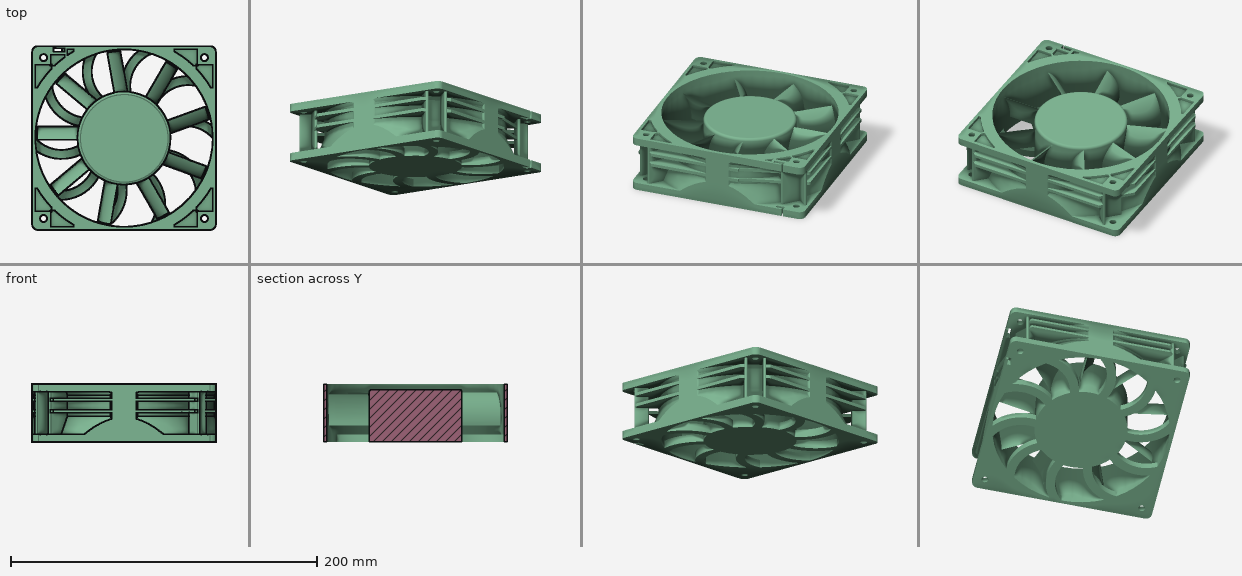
import cadquery as cq
import math

side = 120.2
height = 38.0
half_side = side / 2
corner_radius = 4.0
flange_thickness = 5.0
upper_flange_bottom = height - flange_thickness

bore_radius = 58.0
duct_radius = 59.8
skirt_radius = 65.5
skirt_top = 17.1
collar_radius = 61.0
collar_bottom = 30.7
pillar_width = 15.9

screw_offset = 52.5
screw_diameter = 4.5

rib_thickness = 2.0
rib_bottoms = (19.2, 26.7)
rib_end = 46.3

plate_thickness = 1.9
plate_offset = 6.1
plate_end = 75.9
open_plate_start = 66.5
web_end = 7.9
rib_reach = (rib_end + half_side) / math.sqrt(2)
plate_inner_face = plate_offset - plate_thickness / 2
web_face = open_plate_start + plate_thickness

pocket_depth = 2.0
pocket_edge = half_side - 2.0
pocket_near = 32.8
pocket_far = 47.9
pocket_web = 1.1
pocket_radius = 1.0
split_pocket_near = 38.8
split_pocket_top = 54.5
small_pocket_far = 37.0

hook_left = -46.0
hook_right = -38.8
hook_mouth = 1.2
hook_bottom = 56.4
hook_top = 58.7
lower_hook_right = -40.5
cable_plane_angle = 14.0
cable_gap = 0.4

hub_radius = 30.4
hub_top = 34.5
hub_fillet = 1.8
blade_count = 9
blade_tip_radius = 57.0
blade_upper_edge = (1.2, 32.5)
blade_lower_edge = (-7.0, 10.8)
blade_upper_bulge = 3.6
blade_lower_bulge = 2.0
blade_root = 24.0

strut_count = 10
strut_center = (-40.8, 15.2)
strut_radius = 25.9
strut_width = 6.0
strut_height = 5.0

overlap = 1.2

RIGHT_BACK = 45
LEFT_BACK = 135
LEFT_FRONT = 225
RIGHT_FRONT = 315


def turned(shape, angle):
    """Turn a shape about the fan axis."""
    return shape.rotate((0, 0, 0), (0, 0, 1), angle)


def prism(points, bottom, top):
    """Upright prism with a polygonal outline."""
    return cq.Workplane("XY").workplane(offset=bottom).polyline(points).close().extrude(top - bottom)


def block(x_range, y_range, z_range):
    """Box given by its limits on each axis."""
    (x0, x1), (y0, y1), (z0, z1) = x_range, y_range, z_range
    return cq.Workplane("XY").box(x1 - x0, y1 - y0, z1 - z0, centered=False).translate((x0, y0, z0))


def cylinder(radius, bottom, top):
    """Upright cylinder on the fan axis."""
    return cq.Workplane("XY").workplane(offset=bottom).circle(radius).extrude(top - bottom)


def square_plate(bottom, top):
    """Rounded square the size of the frame."""
    plate = cq.Workplane("XY").workplane(offset=bottom).rect(side, side).extrude(top - bottom)
    return plate.edges("|Z").fillet(corner_radius)


def duct():
    """Duct body with a flared skirt and a small collar, trimmed to the frame square."""
    profile = [
        (0, 0),
        (skirt_radius, 0),
        (skirt_radius, flange_thickness),
        (duct_radius, skirt_top),
        (duct_radius, collar_bottom),
        (collar_radius, upper_flange_bottom),
        (0, upper_flange_bottom),
    ]
    body = cq.Workplane("XZ").polyline(profile).close().revolve(360, (0, 0, 0), (0, 1, 0))
    return body.intersect(square_plate(0, height))


def pillar():
    """Solid middle of the +Y side, widening at 45 degrees toward the duct."""
    inner_y = bore_radius - overlap
    face_x = pillar_width / 2
    root_x = face_x + half_side - inner_y
    return prism([(-root_x, inner_y), (root_x, inner_y), (face_x, half_side), (-face_x, half_side)], 0, height)


def beside_diagonal(along):
    """Point in the middle of the corner plate left of the +X +Y diagonal."""
    return (along - plate_offset) / math.sqrt(2), (along + plate_offset) / math.sqrt(2)


def ribs_of_corner(corner_angle):
    """Ribs running from the two neighbouring side middles to the plates of one corner."""
    outline = [
        (0, bore_radius),
        (0, half_side),
        (rib_end, half_side),
        beside_diagonal(rib_reach),
        beside_diagonal(bore_radius),
    ]
    mirrored = [(y, x) for x, y in outline]
    ribs = cq.Workplane("XY")
    for bottom in rib_bottoms:
        for points in (outline, mirrored):
            ribs = ribs.union(prism(points, bottom, bottom + rib_thickness))
    return turned(ribs, corner_angle - RIGHT_BACK)


def corner_plate(start, offset):
    """Upright plate with round ends, parallel to the diagonal along +X."""
    length = plate_end - start
    base = cq.Workplane("XY").center((start + plate_end) / 2, offset)
    return base.slot2D(length, plate_thickness).extrude(height)


def closed_corner(corner_angle):
    """Corner with a plate from the duct on both sides of the screw."""
    plates = corner_plate(bore_radius, plate_offset).union(corner_plate(bore_radius, -plate_offset))
    return turned(plates, corner_angle)


def open_corner(corner_angle, plate_side):
    """Corner with one plate, bent round into a cross web behind the screw."""
    web_start = plate_offset + plate_thickness / 2
    web_length = web_start + web_end
    web_middle = plate_side * (web_start - web_end) / 2
    web = (
        cq.Workplane("XY")
        .center(open_plate_start + plate_thickness / 2, web_middle)
        .slot2D(web_length, plate_thickness, 90)
        .extrude(height)
    )
    return turned(web.union(corner_plate(open_plate_start, plate_side * plate_offset)), corner_angle)


def open_corner_clearance(corner_angle, plate_side):
    """Space in front of the web of an open corner, on the side without a plate."""
    near = -plate_side * half_side
    far = plate_side * plate_inner_face
    space = block((web_face, side), (min(near, far), max(near, far)), (0, height))
    return turned(space, corner_angle)


def cable_clearance():
    """Space for the cable behind the +Y side, flat and just clear of the duct."""
    space = block((-half_side, 0), (duct_radius + cable_gap, side), (0, height))
    return turned(space, cable_plane_angle)


def pocket(near, far, edge):
    """Pocket along the +Y edge of the (+X, +Y) corner, between the duct and the diagonal web."""
    floor = height - pocket_depth
    web_step = pocket_web / math.sqrt(2)
    outline = [(near, near + web_step), (far, far + web_step), (far, edge), (near, edge)]
    return prism(outline, floor, height).cut(cylinder(skirt_radius, floor, height))


def web_pocket(near, edge):
    """Pocket next to a screw hole, with its tip at the diagonal web rounded."""
    tip = cq.selectors.BoxSelector((pocket_far - 3.6, pocket_far - 3.6, 0), (pocket_far - 1.2, pocket_far, height))
    return pocket(near, pocket_far, edge).edges("|Z").edges(tip).fillet(pocket_radius)


def corner_pockets():
    """All pockets; the one on the +Y edge near the cable hook is split in two."""
    full = web_pocket(pocket_near, pocket_edge)
    short = web_pocket(split_pocket_near, split_pocket_top)
    small = pocket(pocket_near, small_pocket_far, pocket_edge)
    pockets = short.union(small).mirror("YZ")
    for angle in (0, 90, 180, 270):
        pockets = pockets.union(turned(full, angle))
        if angle != 0:
            pockets = pockets.union(turned(full.mirror("YZ"), angle))
    return pockets


def cable_hook():
    """Hooked cable slot in the +Y edge."""
    mouth = block((hook_left, hook_left + hook_mouth), (hook_bottom, side), (0, height))
    upper_slot = block((hook_left, hook_right), (hook_bottom, hook_top), (flange_thickness, height))
    lower_slot = block((hook_left, lower_hook_right), (hook_bottom, hook_top), (0, height))
    return mouth.union(upper_slot).union(lower_slot)


def screw_holes():
    """Through holes in the four corners."""
    centers = cq.Workplane("XY").rect(2 * screw_offset, 2 * screw_offset, forConstruction=True)
    return centers.vertices().circle(screw_diameter / 2).extrude(height)


def frame():
    """Square housing with the duct, ribs, corner posts and all openings."""
    body = duct()
    for angle in (0, 90, 180, 270):
        body = body.union(turned(pillar(), angle))
    ribs = cq.Workplane("XY")
    for angle in (RIGHT_BACK, LEFT_BACK, LEFT_FRONT, RIGHT_FRONT):
        ribs = ribs.union(ribs_of_corner(angle))
    ribs = ribs.cut(open_corner_clearance(RIGHT_FRONT, -1)).cut(open_corner_clearance(LEFT_BACK, 1))
    body = body.union(ribs.cut(cable_clearance()))
    body = body.union(closed_corner(LEFT_FRONT)).union(closed_corner(RIGHT_BACK))
    body = body.union(open_corner(RIGHT_FRONT, -1)).union(open_corner(LEFT_BACK, 1))
    body = body.union(square_plate(0, flange_thickness)).union(square_plate(upper_flange_bottom, height))
    body = body.cut(screw_holes()).cut(corner_pockets()).cut(cable_hook())
    return body.cut(cylinder(bore_radius, 0, height))


def bulged_point(bulge):
    """Point beside the middle of the blade chord, at the given distance from it."""
    (v0, z0), (v1, z1) = blade_upper_edge, blade_lower_edge
    chord = math.hypot(v1 - v0, z1 - z0)
    return (v0 + v1) / 2 + bulge * (z1 - z0) / chord, (z0 + z1) / 2 - bulge * (v1 - v0) / chord


def blade():
    """Straight blade along +X with a crescent section."""
    section = (
        cq.Workplane("YZ")
        .workplane(offset=blade_root)
        .moveTo(*blade_upper_edge)
        .threePointArc(bulged_point(blade_upper_bulge), blade_lower_edge)
        .threePointArc(bulged_point(blade_lower_bulge), blade_upper_edge)
        .close()
    )
    return section.extrude(half_side - blade_root).intersect(cylinder(blade_tip_radius, 0, height))


def rotor():
    """Hub with its blades."""
    hub = cylinder(hub_radius, 0, hub_top).faces(">Z").edges().fillet(hub_fillet)
    single_blade = blade()
    for index in range(blade_count):
        hub = hub.union(turned(single_blade, 180 + index * 360 / blade_count))
    return hub


def struts():
    """Curved struts between the hub and the duct."""
    base = cq.Workplane("XY").center(*strut_center)
    outer = base.circle(strut_radius + strut_width / 2).extrude(strut_height)
    inner = cylinder(strut_radius - strut_width / 2, 0, strut_height).translate((*strut_center, 0))
    annulus = cylinder(duct_radius, 0, strut_height).cut(cylinder(hub_radius - overlap, 0, strut_height))
    lower_half = block((-side, side), (-side, strut_center[1]), (0, strut_height))
    strut = outer.cut(inner).intersect(annulus).intersect(lower_half)
    ring = cq.Workplane("XY")
    for index in range(strut_count):
        ring = ring.union(turned(strut, index * 360 / strut_count))
    return ring


result = frame().union(rotor()).union(struts())